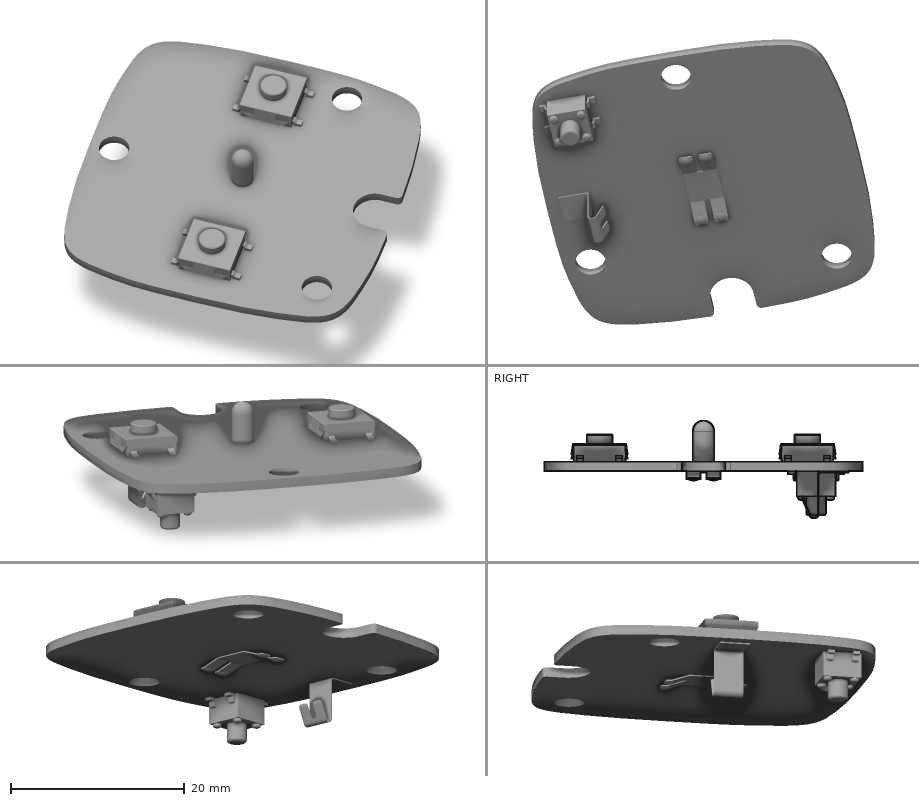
import cadquery as cq
import math


BOARD_THICKNESS = 1.12
BOARD_HALF_WIDTH = 18.395
BOARD_CORNER = 16.03
BOARD_SHOULDER = (17.74, 11.4)
MOUNT_HOLE_DIAMETER = 3.5
MOUNT_HOLES = [(-15.5, 0), (8, 15), (13, -13)]
SLOT_RADIUS = 2.52
SLOT_CENTER_X = 16.0
SLOT_MOUTH_FILLET = 0.55

LED_RADIUS = 1.25
LED_HEIGHT = 4.73

BUTTON_X = 0.03
BUTTON_Y = 12.0
BUTTON_BODY_X = 6.15
BUTTON_BODY_Y = 6.0
BUTTON_HEIGHT = 2.05
COVER_X = 6.25
COVER_Y = 6.2
COVER_THICKNESS = 0.15
COVER_FOLD_RADIUS = 0.13
FLANGE_DROP = 0.8
FLANGE_TAPER = 0.9
FLAP_TOP_DROP = 1.1
FLAP_LEAN = 0.16
TAB_LEAN = 0.16
TAB_WIDTH = 2.6
TAB_BOTTOM_DROP = 1.22
CAP_DIAMETER = 3.0
CAP_TOP = 3.15
CAP_CHAMFER = 0.1
BUTTON_LEAD_Y = 2.25
BUTTON_LEAD_WIDTH = 0.7
BUTTON_LEAD_REACH = 4.17
BUTTON_FOOT_HEIGHT = 0.4
BUTTON_LEAD_TOP = 0.68
BUTTON_LEAD_HEEL = 3.28

SWITCH_X = -13.0
SWITCH_Y = 13.0
SWITCH_SIZE = 4.5
SWITCH_HEIGHT = 2.9
NUB_OFFSET = 1.6
NUB_DIAMETER = 1.0
NUB_HEIGHT = 0.42
NUB_FILLET = 0.28
PLUNGER_DIAMETER = 2.3
PLUNGER_DEPTH = 5.1
PLUNGER_FILLET = 0.3
SWITCH_LEAD_X = 1.5
SWITCH_LEAD_WIDTH = 0.75
SWITCH_LEAD_REACH = 3.25
SWITCH_LEAD_THICKNESS = 0.25
SWITCH_LEAD_GAP = 0.12
SWITCH_FOOT_THICKNESS = 0.37
SWITCH_LEAD_DROP = 1.1

CLIP_WIDTH = 3.45
CLIP_SHEET = 0.15
CLIP_DEPTH = 5.45
CLIP_BASE_END_Y = 16.75
CLIP_LEG_Y = 13.25
CLIP_TOP_BEND = 0.3
CLIP_BOTTOM_BEND = 0.5
CLIP_ARM_ANGLE = 66
CLIP_ARM_TOP_Z = -3.42
CLIP_LIP_BEND = 0.94
CLIP_CORNER = 0.3
NOTCH_WIDTH = 0.95
NOTCH_BOTTOM_Z = -4.83

CONTACT_SHEET = 0.15
FINGER_WIDTH = 1.65
FINGER_GAP = 0.68
FINGER_ROOT_X = 2.0
FINGER_ANGLE = 19
FINGER_BEND = 0.3
FINGER_SLOPE_LENGTH = 2.25
FINGER_TIP_ANGLE = 2
FINGER_TIP_LENGTH = 0.5
FINGER_CORNER = 0.3
DIMPLE_X = 4.3
DIMPLE_RADIUS = 0.65
DIMPLE_DEPTH = 0.2
DIMPLE_Z = -0.88


def bent_sheet(plane, start, heading, steps, thickness, width):
    """Bend a strip along its mid-line; a step is ("line", length) or ("bend", radius, turn in degrees)."""
    half = thickness / 2

    def beside(point, angle, offset):
        side = math.radians(angle + 90)
        return (point[0] + offset * math.cos(side), point[1] + offset * math.sin(side))

    stations = [(start, heading, None)]
    point, angle = start, heading
    for step in steps:
        middle = None
        if step[0] == "line":
            run = math.radians(angle)
            point = (point[0] + step[1] * math.cos(run), point[1] + step[1] * math.sin(run))
        else:
            radius = math.copysign(step[1], step[2])
            center = beside(point, angle, radius)
            mid_angle = angle + step[2] / 2
            middle = (beside(center, mid_angle, -radius), mid_angle)
            angle += step[2]
            point = beside(center, angle, -radius)
        stations.append((point, angle, middle))

    outline = cq.Workplane(plane).moveTo(*beside(*stations[0][:2], half))
    for point, angle, middle in stations[1:]:
        if middle:
            outline = outline.threePointArc(beside(*middle, half), beside(point, angle, half))
        else:
            outline = outline.lineTo(*beside(point, angle, half))
    outline = outline.lineTo(*beside(*stations[-1][:2], -half))
    for index in range(len(stations) - 1, 0, -1):
        middle = stations[index][2]
        end = beside(*stations[index - 1][:2], -half)
        if middle:
            outline = outline.threePointArc(beside(*middle, -half), end)
        else:
            outline = outline.lineTo(*end)
    return outline.close().extrude(width / 2, both=True)


def make_board():
    side, shoulder = BOARD_SHOULDER
    quarter = [
        (BOARD_HALF_WIDTH, 0),
        (side, shoulder),
        (BOARD_CORNER, BOARD_CORNER),
        (shoulder, side),
        (0, BOARD_HALF_WIDTH),
    ]
    outline = cq.Workplane("XY").moveTo(*quarter[0])
    for cos, sin in [(1, 0), (0, 1), (-1, 0), (0, -1)]:
        points = [(x * cos - y * sin, x * sin + y * cos) for x, y in quarter]
        outline = outline.spline(points[1:], tangents=[(-sin, cos), (-cos, -sin)], includeCurrent=True)
    board = outline.close().extrude(BOARD_THICKNESS)

    slot_end = cq.Workplane("XY").center(SLOT_CENTER_X, 0).circle(SLOT_RADIUS).extrude(BOARD_THICKNESS)
    slot_channel = (
        cq.Workplane("XY")
        .moveTo(SLOT_CENTER_X, -SLOT_RADIUS)
        .rect(BOARD_HALF_WIDTH, 2 * SLOT_RADIUS, centered=False)
        .extrude(BOARD_THICKNESS)
    )
    slot = slot_end.union(slot_channel)
    holes = cq.Workplane("XY").pushPoints(MOUNT_HOLES).circle(MOUNT_HOLE_DIAMETER / 2)
    holes = holes.extrude(BOARD_THICKNESS)
    board = board.cut(slot).cut(holes)
    mouth = cq.selectors.BoxSelector(
        ((SLOT_CENTER_X + BOARD_HALF_WIDTH) / 2, -2 * SLOT_RADIUS, BOARD_THICKNESS / 4),
        (2 * BOARD_HALF_WIDTH, 2 * SLOT_RADIUS, BOARD_THICKNESS * 3 / 4),
    )
    return board.edges(mouth).fillet(SLOT_MOUTH_FILLET)


def make_led():
    shoulder = LED_HEIGHT - LED_RADIUS
    diagonal = LED_RADIUS * math.sqrt(0.5)
    return (
        cq.Workplane("XZ", origin=(0, 0, BOARD_THICKNESS))
        .lineTo(LED_RADIUS, 0)
        .lineTo(LED_RADIUS, shoulder)
        .threePointArc((diagonal, shoulder + diagonal), (0, LED_HEIGHT))
        .close()
        .revolve(360, (0, 0, 0), (0, 1, 0))
    )


def make_cover_side():
    """Flange, leaning flap and leaning tab of the cover on the -Y side."""
    face_y = -COVER_Y / 2
    half = COVER_X / 2
    taper_top = BUTTON_HEIGHT - FLANGE_DROP
    taper_bottom = taper_top - FLANGE_TAPER
    flap_top = BUTTON_HEIGHT - FLAP_TOP_DROP
    outline = (
        cq.Workplane("XZ", origin=(0, face_y + COVER_THICKNESS, 0))
        .moveTo(-half, BUTTON_HEIGHT)
        .lineTo(half, BUTTON_HEIGHT)
        .lineTo(half, taper_top)
        .lineTo(half - FLANGE_TAPER, taper_bottom)
        .lineTo(FLANGE_TAPER - half, taper_bottom)
        .lineTo(-half, taper_top)
        .close()
        .extrude(COVER_THICKNESS + FLAP_LEAN)
    )
    profile = (
        cq.Workplane("YZ")
        .moveTo(face_y + COVER_THICKNESS, BUTTON_HEIGHT)
        .lineTo(face_y, BUTTON_HEIGHT)
        .lineTo(face_y, flap_top)
        .lineTo(face_y - FLAP_LEAN, taper_bottom)
        .lineTo(face_y + COVER_THICKNESS, taper_bottom)
        .close()
        .extrude(half, both=True)
    )
    tab = (
        cq.Workplane("YZ")
        .moveTo(face_y, BUTTON_HEIGHT - COVER_THICKNESS)
        .lineTo(face_y - TAB_LEAN, BUTTON_HEIGHT - TAB_BOTTOM_DROP)
        .lineTo(face_y, BUTTON_HEIGHT - TAB_BOTTOM_DROP)
        .close()
        .extrude(TAB_WIDTH / 2, both=True)
    )
    return outline.intersect(profile).union(tab)


def make_button_lead():
    """Gull-wing lead on the +X side, centred on Y = 0."""
    step = BUTTON_LEAD_TOP - BUTTON_FOOT_HEIGHT
    inner_x = BUTTON_BODY_X / 2 - COVER_THICKNESS
    return (
        cq.Workplane("XZ")
        .moveTo(BUTTON_LEAD_REACH, 0)
        .lineTo(BUTTON_LEAD_REACH, BUTTON_FOOT_HEIGHT)
        .lineTo(BUTTON_LEAD_HEEL + step, BUTTON_FOOT_HEIGHT)
        .lineTo(BUTTON_LEAD_HEEL, BUTTON_LEAD_TOP)
        .lineTo(inner_x, BUTTON_LEAD_TOP)
        .lineTo(inner_x, BUTTON_FOOT_HEIGHT)
        .lineTo(BUTTON_LEAD_HEEL, BUTTON_FOOT_HEIGHT)
        .lineTo(BUTTON_LEAD_HEEL, 0)
        .close()
        .extrude(BUTTON_LEAD_WIDTH / 2, both=True)
    )


def make_button(y):
    base_height = BUTTON_HEIGHT - COVER_THICKNESS
    button = cq.Workplane("XY").rect(BUTTON_BODY_X, BUTTON_BODY_Y).extrude(base_height)
    cover = cq.Workplane("XY", origin=(0, 0, base_height)).rect(COVER_X, COVER_Y).extrude(COVER_THICKNESS)
    cap = cq.Workplane("XY").circle(CAP_DIAMETER / 2).extrude(CAP_TOP).faces(">Z").chamfer(CAP_CHAMFER)
    cover_side = make_cover_side()
    for turn in (0, 180):
        cover = cover.union(cover_side.rotate((0, 0, 0), (0, 0, 1), turn))
    cover = cover.faces(">Z").edges("|X").fillet(COVER_FOLD_RADIUS)
    button = button.union(cover).union(cap)
    lead = make_button_lead()
    for turn in (0, 180):
        for lead_y in (-BUTTON_LEAD_Y, BUTTON_LEAD_Y):
            button = button.union(lead.translate((0, lead_y, 0)).rotate((0, 0, 0), (0, 0, 1), turn))
    return button.translate((BUTTON_X, y, BOARD_THICKNESS))


def make_switch_lead():
    """L-shaped lead on the +Y side, hanging from its foot under the board, centred on X = 0."""
    root_y = SWITCH_SIZE / 2
    inner_y = root_y + SWITCH_LEAD_GAP
    outer_y = inner_y + SWITCH_LEAD_THICKNESS
    bend = SWITCH_LEAD_THICKNESS
    root_top_z = bend - SWITCH_LEAD_DROP
    return (
        cq.Workplane("YZ")
        .moveTo(inner_y, 0)
        .lineTo(SWITCH_LEAD_REACH, 0)
        .lineTo(SWITCH_LEAD_REACH, -SWITCH_FOOT_THICKNESS)
        .lineTo(outer_y, -SWITCH_FOOT_THICKNESS)
        .lineTo(outer_y, root_top_z)
        .radiusArc((outer_y - bend, -SWITCH_LEAD_DROP), bend)
        .lineTo(root_y, -SWITCH_LEAD_DROP)
        .lineTo(root_y, root_top_z)
        .lineTo(inner_y, root_top_z)
        .close()
        .extrude(SWITCH_LEAD_WIDTH / 2, both=True)
    )


def make_plunger_switch():
    switch = cq.Workplane("XY").rect(SWITCH_SIZE, SWITCH_SIZE).extrude(-SWITCH_HEIGHT)
    nubs = (
        cq.Workplane("XY", origin=(0, 0, -SWITCH_HEIGHT))
        .rect(2 * NUB_OFFSET, 2 * NUB_OFFSET, forConstruction=True)
        .vertices()
        .circle(NUB_DIAMETER / 2)
        .extrude(-NUB_HEIGHT)
        .faces("<Z")
        .edges()
        .fillet(NUB_FILLET)
    )
    plunger = cq.Workplane("XY").circle(PLUNGER_DIAMETER / 2).extrude(-PLUNGER_DEPTH)
    switch = switch.union(nubs)
    switch = switch.union(plunger.faces("<Z").edges().fillet(PLUNGER_FILLET))
    lead = make_switch_lead()
    for turn in (0, 180):
        for lead_x in (-SWITCH_LEAD_X, SWITCH_LEAD_X):
            switch = switch.union(lead.translate((lead_x, 0, 0)).rotate((0, 0, 0), (0, 0, 1), turn))
    return switch.translate((SWITCH_X, SWITCH_Y, 0))


def make_spring_clip():
    half_sheet = CLIP_SHEET / 2
    base_length = CLIP_BASE_END_Y - CLIP_LEG_Y - CLIP_TOP_BEND
    bottom_center_z = half_sheet - CLIP_DEPTH + CLIP_BOTTOM_BEND
    leg_length = -half_sheet - CLIP_TOP_BEND - bottom_center_z
    rise = math.radians(CLIP_ARM_ANGLE)
    arm_start_z = bottom_center_z - CLIP_BOTTOM_BEND * math.cos(rise)
    lip_turn = 90 - CLIP_ARM_ANGLE
    steps = [
        ("line", base_length),
        ("bend", CLIP_TOP_BEND, 90),
        ("line", leg_length),
        ("bend", CLIP_BOTTOM_BEND, -90 - CLIP_ARM_ANGLE),
        ("line", (CLIP_ARM_TOP_Z - arm_start_z) / math.sin(rise)),
        ("bend", CLIP_LIP_BEND, -lip_turn),
    ]
    start = (CLIP_BASE_END_Y, -half_sheet)
    clip = bent_sheet("YZ", start, 180, steps, CLIP_SHEET, CLIP_WIDTH)

    lip_top_z = CLIP_ARM_TOP_Z + CLIP_LIP_BEND * math.sin(math.radians(lip_turn))
    arm_depth = CLIP_LEG_Y - CLIP_SHEET
    half_notch = NOTCH_WIDTH / 2
    notch = (
        cq.Workplane("XZ")
        .moveTo(-half_notch - CLIP_CORNER, lip_top_z)
        .radiusArc((-half_notch, lip_top_z - CLIP_CORNER), CLIP_CORNER)
        .lineTo(-half_notch, NOTCH_BOTTOM_Z + half_notch)
        .threePointArc((0, NOTCH_BOTTOM_Z), (half_notch, NOTCH_BOTTOM_Z + half_notch))
        .lineTo(half_notch, lip_top_z - CLIP_CORNER)
        .radiusArc((half_notch + CLIP_CORNER, lip_top_z), CLIP_CORNER)
        .close()
        .extrude(-arm_depth)
    )
    clip = clip.cut(notch)
    half_width = CLIP_WIDTH / 2
    for side in (-1, 1):
        corner = (
            cq.Workplane("XZ")
            .moveTo(side * half_width, lip_top_z)
            .lineTo(side * half_width, lip_top_z - CLIP_CORNER)
            .radiusArc((side * (half_width - CLIP_CORNER), lip_top_z), -side * CLIP_CORNER)
            .close()
            .extrude(-arm_depth)
        )
        clip = clip.cut(corner)
    return clip


def make_contact():
    slope = [
        ("line", FINGER_ROOT_X),
        ("bend", FINGER_BEND, -FINGER_ANGLE),
        ("line", FINGER_SLOPE_LENGTH),
        ("bend", FINGER_BEND, FINGER_ANGLE + FINGER_TIP_ANGLE),
        ("line", FINGER_TIP_LENGTH),
    ]
    full_width = 2 * FINGER_WIDTH + FINGER_GAP
    half = bent_sheet("XZ", (0, -CONTACT_SHEET / 2), 0, slope, CONTACT_SHEET, full_width)
    gap = (
        cq.Workplane("XY")
        .moveTo(FINGER_ROOT_X, -FINGER_GAP / 2)
        .rect(BOARD_HALF_WIDTH, FINGER_GAP, centered=False)
        .extrude(-CLIP_DEPTH)
    )
    half = half.cut(gap)
    half = half.faces(">X").edges("not |Y").fillet(FINGER_CORNER)
    ball_radius = (DIMPLE_RADIUS**2 + DIMPLE_DEPTH**2) / (2 * DIMPLE_DEPTH)
    dimple = (
        cq.Workplane("XY", origin=(0, 0, ball_radius - DIMPLE_DEPTH))
        .sphere(ball_radius)
        .intersect(cq.Workplane("XY").rect(2 * FINGER_WIDTH, 2 * FINGER_WIDTH).extrude(-DIMPLE_DEPTH))
    )
    finger_y = (FINGER_WIDTH + FINGER_GAP) / 2
    for y in (-finger_y, finger_y):
        half = half.union(dimple.translate((DIMPLE_X, y, DIMPLE_Z)))
    return half.union(half.mirror("YZ"))


board = make_board()
led = make_led()
buttons = [make_button(y) for y in (-BUTTON_Y, BUTTON_Y)]
plunger_switch = make_plunger_switch()
clip = make_spring_clip()
contact = make_contact()

result = cq.Compound.makeCompound(
    [board.val(), led.val(), *[b.val() for b in buttons], plunger_switch.val(), clip.val(), contact.val()]
)